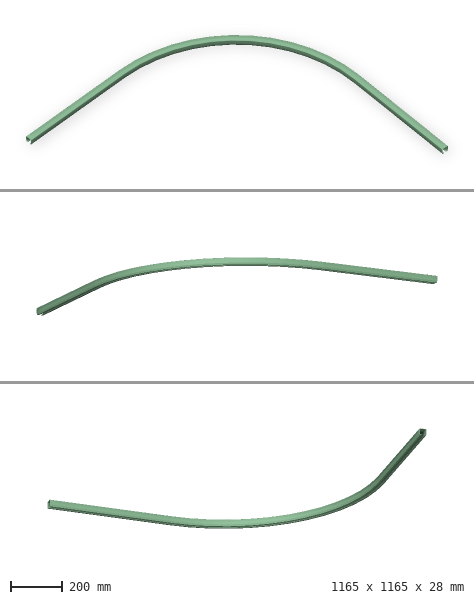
import cadquery as cq

OVERALL_LENGTH = 1165.0
BEND_RADIUS = 664.0
WALL = 1.7

WIDTH = 29.0
HEIGHT = 28.0
SHOULDER_HEIGHT = 7.0
FOOT_INSET = 2.6
LIP = 7.0

TOP_ROUND = 2.0

LOWER_OUTLINE = [
    (WIDTH, SHOULDER_HEIGHT),
    (WIDTH - FOOT_INSET, 0),
    (WIDTH - FOOT_INSET - LIP, 0),
    (WIDTH - FOOT_INSET - LIP, WALL),
    (WIDTH - FOOT_INSET - WALL, WALL),
    (WIDTH - WALL, SHOULDER_HEIGHT),
    (WIDTH - WALL, HEIGHT - WALL),
    (WALL, HEIGHT - WALL),
    (WALL, SHOULDER_HEIGHT),
    (FOOT_INSET + WALL, WALL),
    (FOOT_INSET + LIP, WALL),
    (FOOT_INSET + LIP, 0),
    (FOOT_INSET, 0),
    (0, SHOULDER_HEIGHT),
    (0, HEIGHT - TOP_ROUND),
]


def section_sketch():
    """Closed cross-section at the free end of the leg along Y."""
    return (
        cq.Workplane("XZ")
        .moveTo(TOP_ROUND, HEIGHT)
        .lineTo(WIDTH - TOP_ROUND, HEIGHT)
        .tangentArcPoint((WIDTH, HEIGHT - TOP_ROUND), relative=False)
        .polyline(LOWER_OUTLINE, includeCurrent=True)
        .radiusArc((TOP_ROUND, HEIGHT), TOP_ROUND)
        .close()
    )


def straight_leg():
    """Leg along Y, from its free end at Y = 0 to the start of the bend."""
    return section_sketch().extrude(-(OVERALL_LENGTH - BEND_RADIUS))


def bend():
    """Quarter turn joining the two legs."""
    turn = section_sketch().revolve(90, (BEND_RADIUS, 0), (BEND_RADIUS, -1))
    return turn.translate((0, OVERALL_LENGTH - BEND_RADIUS, 0))


leg_y = straight_leg()
leg_x = (
    leg_y.mirror("YZ")
    .rotate((0, 0, 0), (0, 0, 1), 90)
    .translate((OVERALL_LENGTH, OVERALL_LENGTH, 0))
)
result = leg_y.union(bend()).union(leg_x)